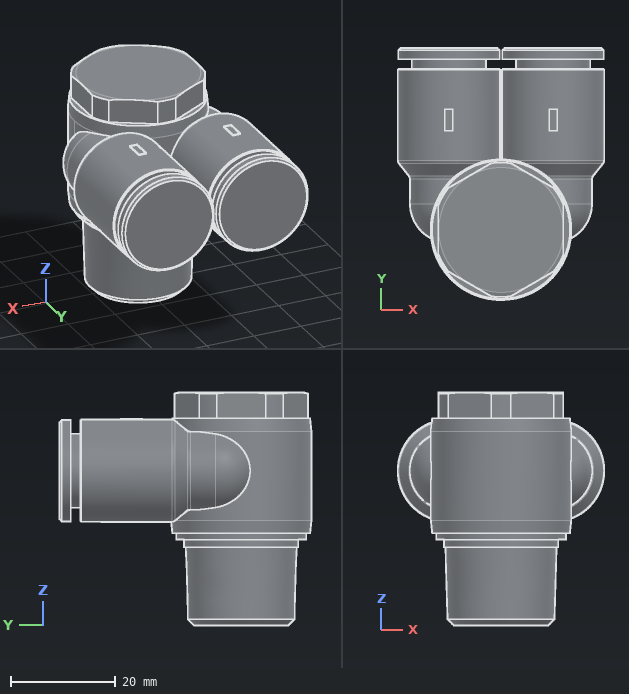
import cadquery as cq
import math

body_radius = 13.52
body_end_radius = 13.25
flange_radius = 12.5
collar_radius = 11.0
thread_top_radius = 10.7
thread_bottom_radius = 10.3
thread_chamfer = 1.25

thread_length = 15.05
collar_height = 1.45
flange_height = 1.2
body_taper_height = 2.55
body_straight_height = 17.05

collar_top = thread_length + collar_height
flange_top = collar_top + flange_height
straight_bottom = flange_top + body_taper_height
straight_top = straight_bottom + body_straight_height
body_top = straight_top + body_taper_height

hex_sides = 6
hex_across_flats = 24.0
hex_corner_radius = 12.9
hex_turn = 30.0
hex_height = 4.95
hex_chamfer_angle = 15.0

outlet_spacing = 20.0
outlet_radius = 9.85
outlet_height = 29.75
outlet_end_y = 30.9
outlet_end_chamfer = 0.2
shoulder_start_y = 10.1
shoulder_end_y = 13.0
shoulder_fillet = 1.0
elbow_radius = 7.52
elbow_center_y = 5.0

ring_radius = 9.78
ring_thickness = 2.2
ring_chamfer = 0.5
neck_radius = 7.15
ring_end_y = 34.92
ring_start_y = ring_end_y - ring_thickness

mark_width = 1.55
mark_length = 4.15
mark_center_y = 21.05
mark_rise = 0.15


def make_body():
    """Threaded stub, stepped collar and flange, and the swivel barrel."""
    profile = [
        (0, 0),
        (thread_bottom_radius - thread_chamfer, 0),
        (thread_bottom_radius, thread_chamfer),
        (thread_top_radius, thread_length),
        (collar_radius, thread_length),
        (collar_radius, collar_top),
        (flange_radius, collar_top),
        (flange_radius, flange_top),
        (body_end_radius, flange_top),
        (body_radius, straight_bottom),
        (body_radius, straight_top),
        (body_end_radius, body_top),
        (0, body_top),
    ]
    return cq.Workplane("XZ").polyline(profile).close().revolve(360, (0, 0), (0, 1))


def make_hex_head():
    """Hexagon with turned corners, chamfered at the top by a shallow cone."""
    hex_across_corners = hex_across_flats / math.cos(math.pi / hex_sides)
    hexagon = (
        cq.Workplane("XY")
        .workplane(offset=body_top)
        .polygon(hex_sides, hex_across_corners)
        .extrude(hex_height)
        .rotate((0, 0, 0), (0, 0, 1), hex_turn)
    )
    flat_radius = hex_across_flats / 2
    chamfer_drop = (hex_corner_radius - flat_radius) * math.tan(math.radians(hex_chamfer_angle))
    head_top = body_top + hex_height
    envelope = (
        cq.Workplane("XZ")
        .moveTo(0, body_top)
        .lineTo(hex_corner_radius, body_top)
        .lineTo(hex_corner_radius, head_top - chamfer_drop)
        .lineTo(flat_radius, head_top)
        .lineTo(0, head_top)
        .close()
        .revolve(360, (0, 0), (0, 1))
    )
    return hexagon.intersect(envelope)


def make_outlet_shell():
    """Domed elbow widening through a rounded shoulder into the tube socket."""
    arc_offset = elbow_radius * math.sqrt(0.5)
    shell = (
        cq.Workplane("XY")
        .moveTo(0, elbow_center_y - elbow_radius)
        .threePointArc((arc_offset, elbow_center_y - arc_offset), (elbow_radius, elbow_center_y))
        .lineTo(elbow_radius, shoulder_start_y)
        .lineTo(outlet_radius, shoulder_end_y)
        .lineTo(outlet_radius, outlet_end_y)
        .lineTo(0, outlet_end_y)
        .close()
        .revolve(360, (0, 0), (0, 1))
    )
    margin = 0.1
    shoulder_edges = cq.selectors.BoxSelector(
        (-outlet_radius, shoulder_start_y - margin, -outlet_radius),
        (outlet_radius, shoulder_end_y + margin, outlet_radius),
    )
    shell = shell.edges("%CIRCLE").edges(shoulder_edges).fillet(shoulder_fillet)
    return shell.faces(">Y").edges().chamfer(outlet_end_chamfer)


def cylinder_along_y(radius, start_y, end_y):
    return cq.Workplane("XZ", origin=(0, start_y, 0)).circle(radius).extrude(start_y - end_y)


def make_outlet():
    """One outlet on the Y axis with its release ring and raised mark."""
    neck = cylinder_along_y(neck_radius, outlet_end_y, ring_start_y)
    ring = cylinder_along_y(ring_radius, ring_start_y, ring_end_y)
    ring = ring.faces(">Y").edges().chamfer(ring_chamfer)
    mark = (
        cq.Workplane("XY", origin=(0, mark_center_y, 0))
        .rect(mark_width, mark_length)
        .extrude(outlet_radius + mark_rise)
    )
    return make_outlet_shell().union(neck).union(ring).union(mark)


result = make_body().union(make_hex_head())
outlet = make_outlet()
for side in (-1, 1):
    result = result.union(outlet.translate((side * outlet_spacing / 2, 0, outlet_height)))